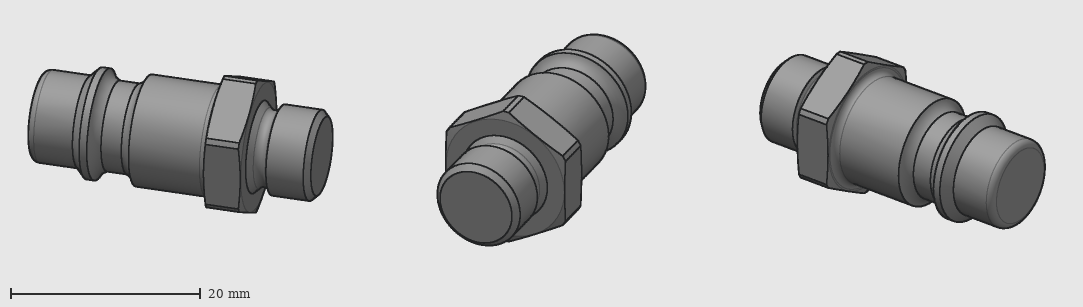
import cadquery as cq
import math

TOTAL_LENGTH = 31.0
COLLAR_RAMP_START = 5.05
COLLAR_START = 6.08
COLLAR_END = 6.9
NECK_START = 8.15
NECK_END = 10.4
BODY_START = 11.5
HEX_START = 20.0
HEX_END = 24.05

NOSE_RADIUS = 9.95 / 2
BODY_RADIUS = 12.0 / 2
NECK_RADIUS = 9.73 / 2
THREAD_RADIUS = 9.75 / 2

NOSE_FILLET = 0.78
BODY_FILLET = 0.75
THREAD_CHAMFER = 0.65
NECK_ARC_RADIUS = 2.0

RELIEF_RADIUS = 4.1
RELIEF_ARC_RADIUS = 0.87
RELIEF_CENTER = 25.3
RELIEF_EXIT_ANGLE = math.radians(60)

HEX_ACROSS_FLATS = 14.0
HEX_CORNER_DIAMETER = 15.8
HEX_FACE_RADIUS = 6.95
HEX_CONE_LENGTH = 0.22


def turned_body():
    """Revolve the half profile (x, radius) around the X axis."""
    diagonal = math.sqrt(0.5)
    nose_arc_inset = NOSE_FILLET * (1 - diagonal)
    body_arc_rise = BODY_FILLET * (1 - diagonal)
    relief_offset = RELIEF_ARC_RADIUS * diagonal
    relief_edge = RELIEF_RADIUS + RELIEF_ARC_RADIUS - relief_offset
    lead_in_start = RELIEF_CENTER - relief_offset
    exit_start = RELIEF_CENTER + RELIEF_ARC_RADIUS * math.sin(RELIEF_EXIT_ANGLE)
    exit_radius = RELIEF_RADIUS + RELIEF_ARC_RADIUS * (1 - math.cos(RELIEF_EXIT_ANGLE))
    thread_start = exit_start + (THREAD_RADIUS - exit_radius) / math.tan(RELIEF_EXIT_ANGLE)
    hex_side_radius = relief_edge + lead_in_start - HEX_END

    profile = (
        cq.Workplane("XY")
        .lineTo(0, NOSE_RADIUS - NOSE_FILLET)
        .threePointArc(
            (nose_arc_inset, NOSE_RADIUS - nose_arc_inset),
            (NOSE_FILLET, NOSE_RADIUS),
        )
        .lineTo(COLLAR_RAMP_START, NOSE_RADIUS)
        .lineTo(COLLAR_START, BODY_RADIUS)
        .lineTo(COLLAR_END, BODY_RADIUS)
        .radiusArc((NECK_START, NECK_RADIUS), -NECK_ARC_RADIUS)
        .lineTo(NECK_END, NECK_RADIUS)
        .radiusArc((BODY_START, BODY_RADIUS), -NECK_ARC_RADIUS)
        .lineTo(HEX_START - BODY_FILLET, BODY_RADIUS)
        .threePointArc(
            (HEX_START - body_arc_rise, BODY_RADIUS + body_arc_rise),
            (HEX_START, BODY_RADIUS + BODY_FILLET),
        )
        .lineTo(HEX_END, BODY_RADIUS + BODY_FILLET)
        .lineTo(HEX_END, hex_side_radius)
        .lineTo(lead_in_start, relief_edge)
        .threePointArc(
            (RELIEF_CENTER, RELIEF_RADIUS),
            (exit_start, exit_radius),
        )
        .lineTo(thread_start, THREAD_RADIUS)
        .lineTo(TOTAL_LENGTH - THREAD_CHAMFER, THREAD_RADIUS)
        .lineTo(TOTAL_LENGTH, THREAD_RADIUS - THREAD_CHAMFER)
        .lineTo(TOTAL_LENGTH, 0)
        .close()
    )
    return profile.revolve(360, (0, 0, 0), (1, 0, 0))


def hexagon():
    """Hexagon with flats facing +Y and -Y, trimmed by a double-coned cylinder."""
    corner_radius = HEX_CORNER_DIAMETER / 2
    flat_to_corner = HEX_ACROSS_FLATS / math.sqrt(3)
    corners = []
    for index in range(6):
        angle = math.radians(90 + 60 * index)
        corners.append((flat_to_corner * math.cos(angle), flat_to_corner * math.sin(angle)))
    prism = (
        cq.Workplane("YZ")
        .workplane(offset=HEX_START)
        .polyline(corners)
        .close()
        .extrude(HEX_END - HEX_START)
    )
    envelope = (
        cq.Workplane("XY")
        .moveTo(HEX_START, 0)
        .lineTo(HEX_START, HEX_FACE_RADIUS)
        .lineTo(HEX_START + HEX_CONE_LENGTH, corner_radius)
        .lineTo(HEX_END - HEX_CONE_LENGTH, corner_radius)
        .lineTo(HEX_END, HEX_FACE_RADIUS)
        .lineTo(HEX_END, 0)
        .close()
        .revolve(360, (0, 0, 0), (1, 0, 0))
    )
    return prism.intersect(envelope)


result = turned_body().union(hexagon())